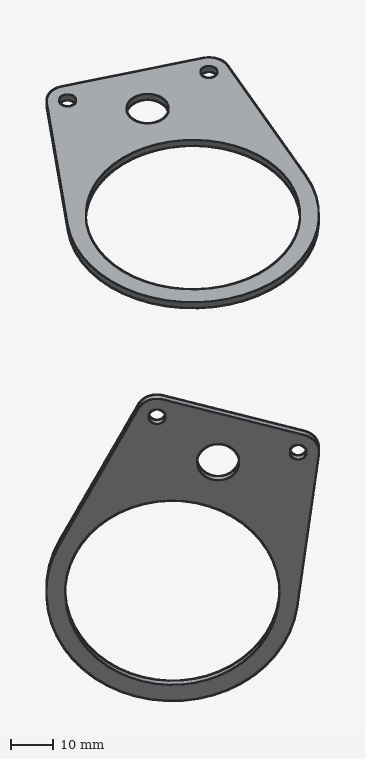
import cadquery as cq
import math

thickness = 2.0
overall_length = 80.79
ring_outer_diameter = 60.0
ring_bore_diameter = 51.0

mount_offset_y = -0.3
corner_radius = 5.0
mount_hole_diameter = 4.0
mount_hole_spacing = 35.0
centre_hole_diameter = 10.0
centre_hole_edge_distance = 13.0

ring_radius = ring_outer_diameter / 2
left_edge_x = ring_radius - overall_length
mount_hole_x = left_edge_x + corner_radius
upper_mount_y = mount_offset_y + mount_hole_spacing / 2
lower_mount_y = mount_offset_y - mount_hole_spacing / 2
centre_hole_x = left_edge_x + centre_hole_edge_distance


def point_on_circle(centre, radius, angle):
    return (
        centre[0] + radius * math.cos(angle),
        centre[1] + radius * math.sin(angle),
    )


def tangent_normal_angle(corner, side):
    """Direction of the outward normal of the straight flank that touches the
    ring and a rounded corner; side is +1 for the upper flank, -1 for the lower."""
    centre_distance = math.hypot(corner[0], corner[1])
    corner_direction = math.atan2(corner[1], corner[0])
    return corner_direction - side * math.acos((ring_radius - corner_radius) / centre_distance)


def make_plate():
    """Flat plate: round at the ring, tapering to two rounded corners."""
    ring_centre = (0, 0)
    upper_corner = (mount_hole_x, upper_mount_y)
    lower_corner = (mount_hole_x, lower_mount_y)
    upper_normal = tangent_normal_angle(upper_corner, 1)
    lower_normal = tangent_normal_angle(lower_corner, -1)
    upper_arc_middle = (upper_normal + math.pi) / 2
    lower_arc_middle = (lower_normal - math.pi) / 2

    return (
        cq.Workplane("XY")
        .moveTo(*point_on_circle(ring_centre, ring_radius, upper_normal))
        .threePointArc(
            (ring_radius, 0),
            point_on_circle(ring_centre, ring_radius, lower_normal),
        )
        .lineTo(*point_on_circle(lower_corner, corner_radius, lower_normal))
        .threePointArc(
            point_on_circle(lower_corner, corner_radius, lower_arc_middle),
            (left_edge_x, lower_mount_y),
        )
        .lineTo(left_edge_x, upper_mount_y)
        .threePointArc(
            point_on_circle(upper_corner, corner_radius, upper_arc_middle),
            point_on_circle(upper_corner, corner_radius, upper_normal),
        )
        .close()
        .extrude(thickness)
    )


def through_holes(points, diameter):
    return cq.Workplane("XY").pushPoints(points).circle(diameter / 2).extrude(thickness)


mount_hole_points = [(mount_hole_x, upper_mount_y), (mount_hole_x, lower_mount_y)]

result = (
    make_plate()
    .cut(through_holes([(0, 0)], ring_bore_diameter))
    .cut(through_holes([(centre_hole_x, mount_offset_y)], centre_hole_diameter))
    .cut(through_holes(mount_hole_points, mount_hole_diameter))
)